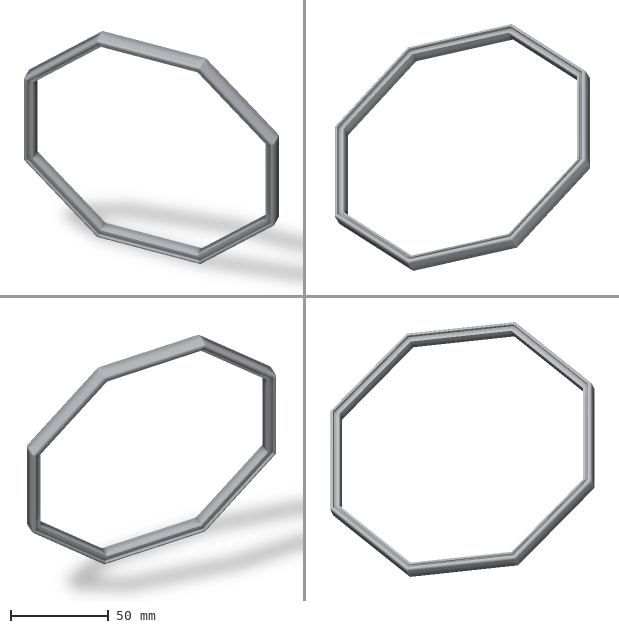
import cadquery as cq
import math

SIDES = 8
frame_width = 136.8
frame_depth = 8.8
edge_radius = 1.2
rim_width = 1.6
lip_inset = 3.5
wall_thickness = 4.7
groove_depth = 1.8
lip_depth = 1.2

front_y = -frame_depth / 2


def octagon_prism(inset, length):
    """Octagonal prism from the front face toward +Y, set in from the outer flats."""
    across_corners = (frame_width - 2 * inset) / math.cos(math.pi / SIDES)
    return (
        cq.Workplane("XZ", origin=(0, front_y, 0))
        .transformed(rotate=(0, 0, 180 / SIDES))
        .polygon(SIDES, across_corners)
        .extrude(-length)
    )


body = octagon_prism(0, frame_depth)
body = body.faces("<Y or >Y").edges().fillet(edge_radius)

opening = octagon_prism(wall_thickness, frame_depth)

groove = octagon_prism(rim_width, groove_depth).cut(octagon_prism(lip_inset, groove_depth))
lip_clearance = octagon_prism(lip_inset, lip_depth)
front_recess = groove.union(lip_clearance)
back_recess = front_recess.mirror("XZ")

result = body.cut(opening).cut(front_recess).cut(back_recess)